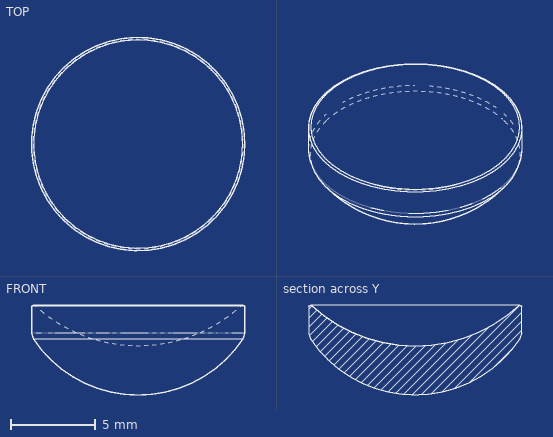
import cadquery as cq
import math

diameter = 12.7
total_height = 5.37
concave_depth = 2.44

top_bevel_width = 0.15
top_bevel_height = 0.08

bottom_bevel_width = 0.11
bottom_bevel_height = 0.34
convex_sag = 3.35

edge_radius = diameter / 2
concave_rim_radius = edge_radius - top_bevel_width
convex_rim_radius = edge_radius - bottom_bevel_width
edge_top = total_height - top_bevel_height
edge_bottom = convex_sag + bottom_bevel_height
concave_vertex = total_height - concave_depth


def sphere_radius(rim_radius, sag):
    """Radius of the sphere whose cap has the given rim radius and sag."""
    return (rim_radius**2 + sag**2) / (2 * sag)


def cap_midpoint(rim_radius, sag):
    """Point on the cap halfway out to its rim: distance from the axis, rise above the vertex."""
    radius = sphere_radius(rim_radius, sag)
    half_out = rim_radius / 2
    return half_out, radius - math.sqrt(radius**2 - half_out**2)


def lens():
    """Revolve the half section of the lens about its optical axis."""
    convex_x, convex_rise = cap_midpoint(convex_rim_radius, convex_sag)
    concave_x, concave_rise = cap_midpoint(concave_rim_radius, concave_depth)
    half_section = (
        cq.Workplane("XZ")
        .moveTo(0, 0)
        .threePointArc((convex_x, convex_rise), (convex_rim_radius, convex_sag))
        .lineTo(edge_radius, edge_bottom)
        .lineTo(edge_radius, edge_top)
        .lineTo(concave_rim_radius, total_height)
        .threePointArc((concave_x, concave_vertex + concave_rise), (0, concave_vertex))
        .close()
    )
    return half_section.revolve(360, (0, 0, 0), (0, 1, 0))


result = lens()